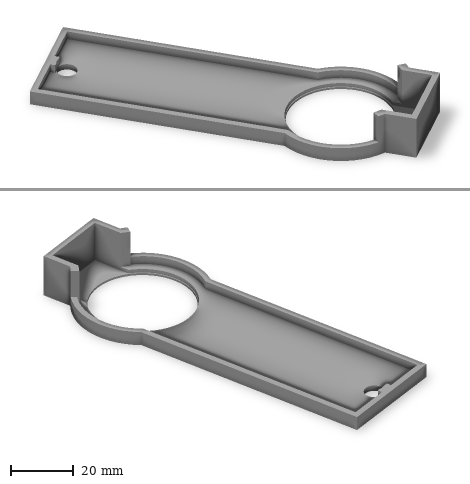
import cadquery as cq

length = 127.2
tray_width = 38.0
rim_height = 5.0
head_height = 15.0
wall = 2.0
tray_floor = 2.0
head_floor = 0.8

ring_x = 98.1
ring_radius = 23.2
opening_radius = 17.7
opening_step = 0.4

head_width = 27.4
head_inner_half = head_width / 2 - wall

jaw_tip_outer = (17.0, 15.7)
jaw_tip_inner = (14.9, 14.0)
jaw_root_x = 16.9

hole_x = 6.9
hole_diameter = 6.7
tab_end_x = 3.7
tab_width = 5.0


def block(x_start, x_end, width, bottom, top):
    """Box centred on Y = 0 between two X positions and two heights."""
    return (
        cq.Workplane("XY", origin=(x_start, 0, bottom))
        .box(x_end - x_start, width, top - bottom, centered=(False, True, False))
    )


def disc(x, radius, bottom, top):
    """Vertical cylinder centred on Y = 0."""
    return cq.Workplane("XY", origin=(x, 0, bottom)).circle(radius).extrude(top - bottom)


def jaw(side):
    """Tall tapered jaw beside the mouth of the head; side is +1 or -1 in Y."""
    corners = [
        jaw_tip_outer,
        jaw_tip_inner,
        (jaw_root_x, head_inner_half),
        (ring_radius, head_inner_half),
        (ring_radius, jaw_tip_outer[1]),
    ]
    prism = (
        cq.Workplane("XY", origin=(ring_x, 0, 0))
        .polyline([(x, side * y) for x, y in corners])
        .close()
        .extrude(head_height)
    )
    return prism.intersect(disc(ring_x, ring_radius, 0, head_height))


outline = block(0, ring_x, tray_width, 0, rim_height).union(disc(ring_x, ring_radius, 0, rim_height))
recess = block(wall, ring_x, tray_width - 2 * wall, tray_floor, rim_height).union(
    disc(ring_x, ring_radius - wall, tray_floor, rim_height)
)
body = outline.cut(recess)

head_start = ring_x + jaw_root_x
body = body.union(block(head_start, length, head_width, 0, head_height))
body = body.union(jaw(1)).union(jaw(-1))
body = body.cut(block(ring_x, length - wall, 2 * head_inner_half, head_floor, head_height))

body = body.union(block(0, tab_end_x, tab_width, 0, rim_height))

body = body.cut(disc(ring_x, opening_radius, 0, head_floor))
body = body.cut(disc(ring_x, opening_radius + opening_step, head_floor, tray_floor))
result = body.cut(disc(hole_x, hole_diameter / 2, 0, rim_height))